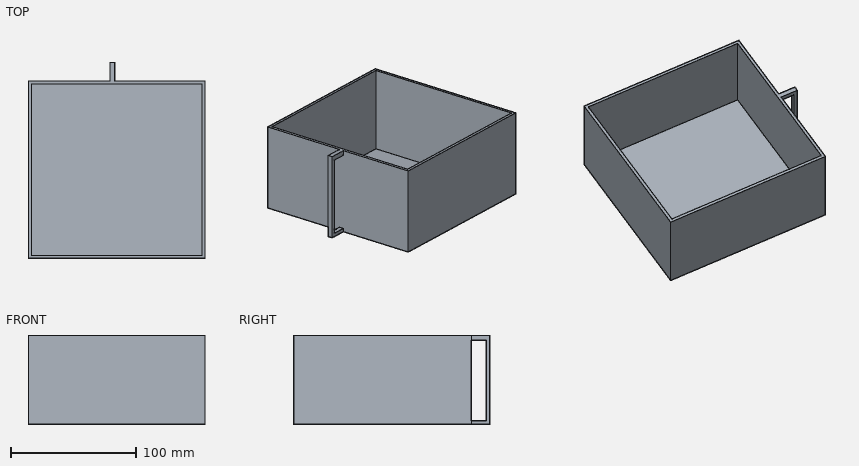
import cadquery as cq

box_width = 141.2
total_length = 156.76
height = 71.2

wall_thickness = 2.5
handle_reach = 14.76
box_length = total_length - handle_reach

handle_width = 4.0
handle_offset_x = -3.5
handle_post = 3.0
handle_top_bar = 4.0
handle_bottom_bar = 3.0


def block(size_x, size_y, size_z, center_x, min_y, min_z):
    """Block centred on center_x, growing toward +Y and +Z from min_y and min_z."""
    solid = cq.Workplane("XY").box(size_x, size_y, size_z, centered=(True, False, False))
    return solid.translate((center_x, min_y, min_z))


def open_box():
    """Rectangular box with an open top; walls and floor share one thickness."""
    outer = block(box_width, box_length, height, 0, 0, 0)
    cavity = block(
        box_width - 2 * wall_thickness,
        box_length - 2 * wall_thickness,
        height - wall_thickness,
        0,
        wall_thickness,
        wall_thickness,
    )
    return outer.cut(cavity)


def handle():
    """Thin upright loop, as tall as the box, standing off the +Y wall."""
    plate = block(handle_width, handle_reach, height, handle_offset_x, box_length, 0)
    opening = block(
        handle_width,
        handle_reach - handle_post,
        height - handle_top_bar - handle_bottom_bar,
        handle_offset_x,
        box_length,
        handle_bottom_bar,
    )
    return plate.cut(opening)


result = open_box().union(handle())